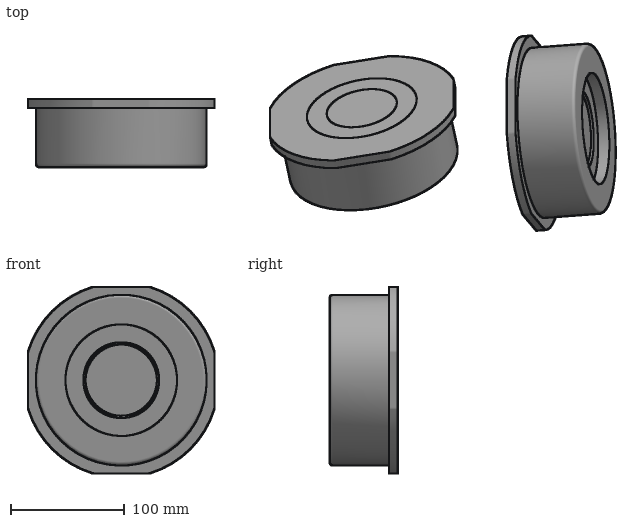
import cadquery as cq

overall_length = 60.0
front_y = 0.0
rear_y = front_y + overall_length

flange_across_flats = 164.0
flange_diameter = 171.4
flange_thickness = 8.0
flange_corner_radius = 5.4
drum_diameter = 150.0
drum_rim_radius = 3.0

ring_diameter = 98.0
ring_setback = 10.2
ring_front_y = front_y + ring_setback

plug_diameter = 62.6
ring_chamfer = 2.0
plug_front_y = ring_front_y + ring_chamfer


def cylinder(diameter, start_y, end_y):
    """Solid cylinder about the Y axis between two Y positions."""
    return (
        cq.Workplane("XZ", origin=(0, start_y, 0))
        .circle(diameter / 2)
        .extrude(start_y - end_y)
    )


def make_flange():
    """Round plate trimmed by a square to leave four flats with softened corners."""
    start_y = rear_y - flange_thickness
    square = (
        cq.Workplane("XZ", origin=(0, start_y, 0))
        .rect(flange_across_flats, flange_across_flats)
        .extrude(-flange_thickness)
    )
    plate = cylinder(flange_diameter, start_y, rear_y).intersect(square)
    return plate.edges("|Y").fillet(flange_corner_radius)


def make_housing():
    """Drum with a rounded front rim, joined to the flange and bored through."""
    drum = cylinder(drum_diameter, front_y, rear_y).faces("<Y").edges().fillet(drum_rim_radius)
    bore = cylinder(ring_diameter, front_y, rear_y)
    return drum.union(make_flange()).cut(bore)


def make_ring():
    """Ring with a chamfer at the front of its hole."""
    hole = cylinder(plug_diameter, ring_front_y, rear_y)
    ring = cylinder(ring_diameter, ring_front_y, rear_y).cut(hole)
    hole_edge = cq.selectors.RadiusNthSelector(0)
    return ring.faces("<Y").edges(hole_edge).chamfer(ring_chamfer)


def make_plug():
    """Plain round plug."""
    return cylinder(plug_diameter, plug_front_y, rear_y)


housing = make_housing()
ring = make_ring()
plug = make_plug()

result = cq.Compound.makeCompound([housing.val(), ring.val(), plug.val()])